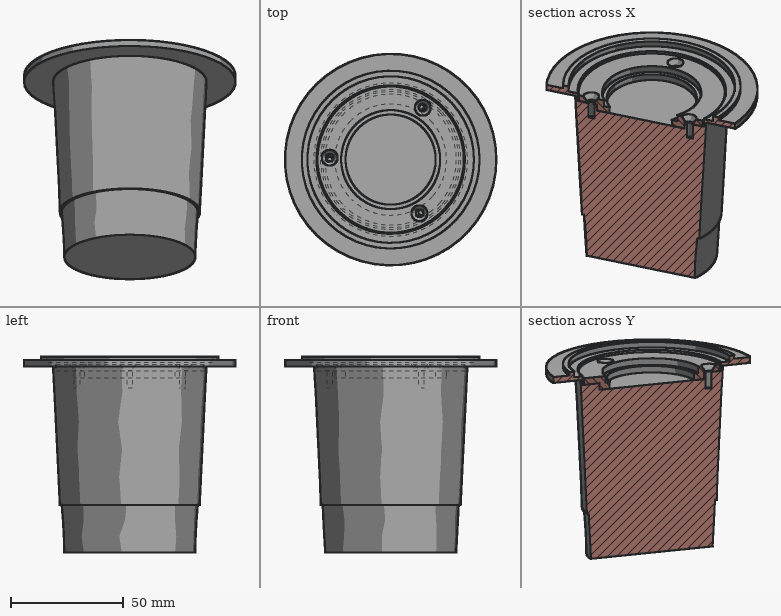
import cadquery as cq
import math

TOTAL_HEIGHT = 87.0

FLANGE_DIAMETER = 94.0
FLANGE_THICKNESS = 2.9
RIM_DIAMETER = 79.0
RIM_HEIGHT = 1.5
CUP_TOP_DIAMETER = 68.2
CUP_LOWER_DIAMETER = 62.2
FOOT_TOP_DIAMETER = 60.5
FOOT_BASE_DIAMETER = 58.3
FOOT_HEIGHT = 21.15
RIM_RECESS_DIAMETER = 74.0
RIM_RECESS_DEPTH = 2.5
SEAT_DIAMETER = 66.0

RING_DIAMETER = 65.0
RING_THICKNESS = 3.0
RING_TOP_DEPTH = 3.5
BOSS_DIAMETER = 49.5
BOSS_HEIGHT = 3.0
UPPER_BORE_DIAMETER = 44.0
LOWER_BORE_DIAMETER = 40.0

SCREW_COUNT = 3
SCREW_CIRCLE_RADIUS = 27.1
FIRST_SCREW_ANGLE = 180.0
RING_TURN = -1.8
COUNTERSINK_DIAMETER = 7.05
COUNTERSINK_ANGLE = 70.0
CLEARANCE_DIAMETER = 3.3
PILOT_DIAMETER = 2.5
PILOT_DEPTH = 7.5

FLANGE_TOP = TOTAL_HEIGHT - RIM_HEIGHT
FLANGE_BOTTOM = FLANGE_TOP - FLANGE_THICKNESS
RIM_RECESS_FLOOR = TOTAL_HEIGHT - RIM_RECESS_DEPTH
RING_TOP = TOTAL_HEIGHT - RING_TOP_DEPTH
RING_BOTTOM = RING_TOP - RING_THICKNESS
BOSS_BOTTOM = RING_BOTTOM - BOSS_HEIGHT


def cylinder(diameter, bottom, top):
    """Solid cylinder on the Z axis between two levels."""
    return cq.Workplane("XY", origin=(0, 0, bottom)).circle(diameter / 2).extrude(top - bottom)


def screw_places(turn):
    """Centres of the equally spaced screws, turned about Z by an angle in degrees."""
    places = []
    for index in range(SCREW_COUNT):
        angle = math.radians(FIRST_SCREW_ANGLE + turn + index * 360 / SCREW_COUNT)
        places.append((SCREW_CIRCLE_RADIUS * math.cos(angle), SCREW_CIRCLE_RADIUS * math.sin(angle)))
    return places


def make_housing():
    """Cup with its flange and rim, recessed on top to receive the ring."""
    half_profile = [
        (0, 0),
        (FOOT_BASE_DIAMETER / 2, 0),
        (FOOT_TOP_DIAMETER / 2, FOOT_HEIGHT),
        (CUP_LOWER_DIAMETER / 2, FOOT_HEIGHT),
        (CUP_TOP_DIAMETER / 2, FLANGE_BOTTOM),
        (FLANGE_DIAMETER / 2, FLANGE_BOTTOM),
        (FLANGE_DIAMETER / 2, FLANGE_TOP),
        (RIM_DIAMETER / 2, FLANGE_TOP),
        (RIM_DIAMETER / 2, TOTAL_HEIGHT),
        (0, TOTAL_HEIGHT),
    ]
    body = cq.Workplane("XZ").polyline(half_profile).close().revolve(360, (0, 0), (0, 1))

    body = body.cut(cylinder(RIM_RECESS_DIAMETER, RIM_RECESS_FLOOR, TOTAL_HEIGHT))
    body = body.cut(cylinder(SEAT_DIAMETER, RING_BOTTOM, RIM_RECESS_FLOOR))
    body = body.cut(cylinder(BOSS_DIAMETER, BOSS_BOTTOM, RING_BOTTOM))

    pilots = (
        cq.Workplane("XY", origin=(0, 0, RING_BOTTOM))
        .pushPoints(screw_places(0))
        .circle(PILOT_DIAMETER / 2)
        .extrude(-PILOT_DEPTH)
    )
    return body.cut(pilots)


def make_ring():
    """Plate and boss with a stepped through bore and countersunk screw holes."""
    body = cylinder(RING_DIAMETER, RING_BOTTOM, RING_TOP)
    body = body.union(cylinder(BOSS_DIAMETER, BOSS_BOTTOM, RING_BOTTOM))
    body = body.cut(cylinder(UPPER_BORE_DIAMETER, RING_BOTTOM, RING_TOP))
    body = body.cut(cylinder(LOWER_BORE_DIAMETER, BOSS_BOTTOM, RING_BOTTOM))

    return (
        body.faces(">Z")
        .workplane(origin=(0, 0, RING_TOP))
        .pushPoints(screw_places(RING_TURN))
        .cskHole(CLEARANCE_DIAMETER, COUNTERSINK_DIAMETER, COUNTERSINK_ANGLE, RING_THICKNESS)
    )


housing = make_housing()
ring = make_ring()

result = cq.Compound.makeCompound([housing.solids().val(), ring.solids().val()])